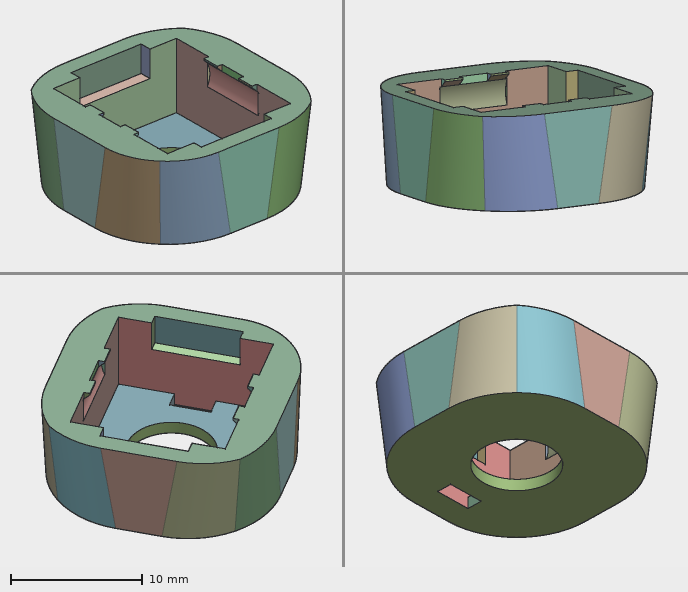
import cadquery as cq
import math

side = 18.3
height = 7.5
half_side = side / 2
top_half_flat = 3.02
bottom_half_flat = 1.83
corner_radius = half_side - bottom_half_flat

floor_thickness = 1.05
pocket_left = -6.65
pocket_right = 6.83
pocket_half_width = 6.13

recess_reach = 7.69
recess_half_width = 3.5
recess_depth = 2.56

hole_diameter = 7.0
window_length = 1.4
window_width = 3.28
window_center_y = 0.05

tab_inner = 1.25
tab_outer = 2.85
tab_reach = 0.48
tab_lip = 0.15
tab_height = tab_lip + tab_reach

groove_half_length = 3.0
groove_height = 2.05
groove_depth = 0.25


def half_corner(half_flat, radius):
    """Middle and end of the arc from (half_flat, half_side) to the 45 degree diagonal."""
    center_x = half_flat
    center_y = half_side - radius
    mean = (center_x + center_y) / 2
    offset = (center_x - center_y) / 2
    diagonal = mean + math.sqrt(radius**2 / 2 - offset**2)
    half_angle = math.atan2(diagonal - center_x, diagonal - center_y) / 2
    middle = (center_x + radius * math.sin(half_angle), center_y + radius * math.cos(half_angle))
    return middle, (diagonal, diagonal)


def outline(z, half_flat, radii):
    """Square with two arcs per corner; radii run (+X+Y), (+X-Y), (-X-Y), (-X+Y)."""
    sketch = cq.Workplane("XY", origin=(0, 0, z)).moveTo(-half_flat, half_side)
    signs = [(1, 1), (1, -1), (-1, -1), (-1, 1)]
    for index, (radius, (sx, sy)) in enumerate(zip(radii, signs)):
        (mid_x, mid_y), (tip_x, tip_y) = half_corner(half_flat, radius)
        on_y_side = [(half_flat * sx, half_side * sy), (mid_x * sx, mid_y * sy)]
        on_x_side = [(half_side * sx, half_flat * sy), (mid_y * sx, mid_x * sy)]
        start, finish = (on_y_side, on_x_side) if index % 2 == 0 else (on_x_side, on_y_side)
        tip = (tip_x * sx, tip_y * sy)
        sketch = sketch.lineTo(*start[0])
        sketch = sketch.threePointArc(start[1], tip)
        sketch = sketch.threePointArc(finish[1], finish[0])
    return sketch.close().wires().val()


def make_body():
    smooth_radius = half_side - top_half_flat
    top_radii = [corner_radius, smooth_radius, corner_radius, corner_radius]
    bottom = outline(0, bottom_half_flat, [corner_radius] * 4)
    top = outline(height, top_half_flat, top_radii)
    return cq.Workplane(cq.Solid.makeLoft([bottom, top], True))


def box_between(x0, x1, y0, y1, z0, z1):
    return cq.Workplane("XY").box(x1 - x0, y1 - y0, z1 - z0, centered=False).translate((x0, y0, z0))


def make_cavity():
    pocket = box_between(
        pocket_left, pocket_right, -pocket_half_width, pocket_half_width, floor_thickness, height
    )
    recesses = box_between(
        -recess_reach, recess_reach, -recess_half_width, recess_half_width, height - recess_depth, height
    )
    hole = cq.Workplane("XY").circle(hole_diameter / 2).extrude(height)
    window = box_between(
        pocket_right - window_length,
        pocket_right,
        window_center_y - window_width / 2,
        window_center_y + window_width / 2,
        0,
        height,
    )
    return pocket.union(recesses).union(hole).union(window)


def make_tab(x_start):
    """Wedge on the +Y wall, running in +X from x_start."""
    wall = pocket_half_width
    tip = wall - tab_reach
    profile = [(wall, height), (tip, height), (tip, height - tab_lip), (wall, height - tab_height)]
    sketch = cq.Workplane("YZ", origin=(x_start, 0, 0)).polyline(profile).close()
    return sketch.extrude(tab_outer - tab_inner)


def make_groove():
    """Arc-section groove cut into the +Y wall."""
    upper = height - tab_height
    sketch = (
        cq.Workplane("YZ", origin=(-groove_half_length, 0, 0))
        .moveTo(pocket_half_width, upper)
        .threePointArc(
            (pocket_half_width + groove_depth, upper - groove_height / 2),
            (pocket_half_width, upper - groove_height),
        )
        .close()
    )
    return sketch.extrude(2 * groove_half_length)


result = make_body().cut(make_cavity())

groove = make_groove()
result = result.cut(groove).cut(groove.mirror("XZ"))

for tab_start in (-tab_outer, tab_inner):
    tab = make_tab(tab_start)
    result = result.union(tab).union(tab.mirror("XZ"))